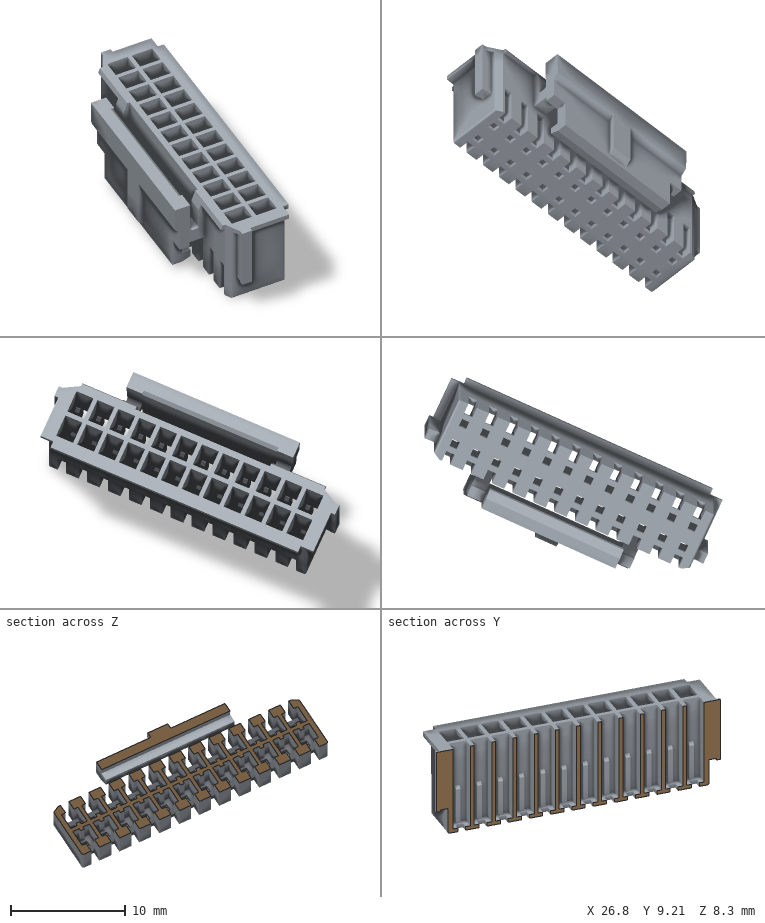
import cadquery as cq


length = 26.82
height = 8.3

body_length = 24.62
body_depth = 5.58
body_edge_radius = 0.2

flange_length = 26.07
flange_thickness = 0.48
back_lip_length = 23.65
back_lip_reach = 0.6
corner_cut_x = 1.4
corner_cut_y = 0.78

columns = 12
row_length = 22.0
cavity_width = 1.6
cavity_wall = 0.4
cavity_depth = 2.0
floor_thickness = 0.4
pin_hole = 0.7
pin_offset = 1.0

slot_width = 0.8
slot_height = 3.35
ledge_depth = 0.38
ledge_flat = 0.08
ledge_ramp = 0.3

rib_width = 0.43
rib_depth = 0.27
rib_height = 4.02
rib_ramp = 0.27

ear_lip = 0.45
ear_depth = 0.97
ear_back_y = -1.05
ear_bottom_z = 2.3
ear_web_bottom_z = 2.47

front_lip_reach = 0.25
arm_reach = 0.62
arm_slope_drop = 1.05
arm_outer_x = 7.83
arm_inner_x = 6.45
bridge_top_z = 5.15
bridge_bottom_z = 3.84
bridge_inner_radius = 0.21
bridge_outer_radius = 0.32

latch_gap = 1.53
plate_thickness = 1.5
thin_thickness = 0.97
plate_top_half = 7.97
shoulder_z = 3.35
plate_bottom_z = 0.45
step_top_z = 5.95
step_bottom_z = 5.4
lead_in = 0.32
hook_reach = 0.8
hook_top_z = 1.5
hook_tip_z = 0.78

bar_width = 2.05
bar_front_bottom_z = 1.42
bar_root_bottom_z = 0.95

back_y = body_depth / 2
front_y = -back_y
flange_z = height - flange_thickness
corner_x = flange_length / 2 - corner_cut_x
pitch = row_length / (columns - 1)
cavity_inner_y = cavity_wall / 2
cavity_outer_y = cavity_inner_y + cavity_depth
lip_top_y = front_y - front_lip_reach
arm_y = front_y - arm_reach
plate_back_y = front_y - latch_gap
thin_front_y = plate_back_y - thin_thickness
plate_front_y = plate_back_y - plate_thickness


def block(x0, x1, y0, y1, z0, z1):
    """Axis-aligned block between opposite corners."""
    return cq.Workplane("XY").box(x1 - x0, y1 - y0, z1 - z0, centered=False).translate((x0, y0, z0))


def prism(points, x0, x1):
    """Extrude a (y, z) profile from x0 to x1."""
    return cq.Workplane("YZ").polyline(points).close().extrude(x1 - x0).translate((x0, 0, 0))


def both_ends(solid):
    """The solid together with its mirror image in X."""
    return solid.union(solid.mirror("YZ"))


def make_housing():
    half = body_length / 2
    body = block(-half, half, front_y, back_y, 0, height)
    body = body.edges("(|Y and <Z) or (|Z and >Y)").fillet(body_edge_radius)

    flange_half = flange_length / 2
    lip_half = back_lip_length / 2
    housing = body.union(block(-flange_half, flange_half, front_y, back_y, flange_z, height))
    housing = housing.union(block(-lip_half, lip_half, back_y, back_y + back_lip_reach, flange_z, height))

    corner = [
        (flange_half, front_y),
        (flange_half, front_y + corner_cut_y),
        (corner_x, front_y),
    ]
    corner_cut = cq.Workplane("XY").polyline(corner).close().extrude(height)
    return housing.cut(both_ends(corner_cut))


def make_ears():
    lip_x = length / 2 - ear_lip
    front = ear_back_y - ear_depth
    lip = block(lip_x, length / 2, front, ear_back_y, ear_bottom_z, height)
    web = block(body_length / 2, lip_x, front, ear_back_y, ear_web_bottom_z, height)
    return both_ends(lip.union(web))


def make_arms():
    lip_bottom_y = lip_top_y - (arm_reach - front_lip_reach) * flange_thickness / arm_slope_drop
    lip = prism(
        [(front_y, height), (lip_top_y, height), (lip_bottom_y, flange_z), (front_y, flange_z)],
        arm_inner_x,
        corner_x,
    )
    r_in = bridge_inner_radius
    r_out = bridge_outer_radius
    arm = (
        cq.Workplane("YZ")
        .moveTo(front_y, height)
        .lineTo(lip_top_y, height)
        .lineTo(arm_y, height - arm_slope_drop)
        .lineTo(arm_y, bridge_top_z + r_in)
        .radiusArc((arm_y - r_in, bridge_top_z), r_in)
        .lineTo(plate_back_y + r_out, bridge_top_z)
        .radiusArc((plate_back_y, bridge_top_z + r_out), r_out)
        .lineTo(plate_back_y, bridge_bottom_z)
        .lineTo(front_y, bridge_bottom_z)
        .close()
        .extrude(arm_outer_x - arm_inner_x)
        .translate((arm_inner_x, 0, 0))
    )
    return both_ends(lip.union(arm))


def make_latch():
    side = prism(
        [
            (plate_back_y, height),
            (plate_front_y, height),
            (plate_front_y, step_top_z),
            (thin_front_y, step_bottom_z),
            (thin_front_y, plate_bottom_z),
            (plate_back_y, plate_bottom_z),
            (plate_back_y + hook_reach, hook_tip_z),
            (plate_back_y + hook_reach, hook_top_z),
            (plate_back_y, hook_top_z),
        ],
        -plate_top_half,
        plate_top_half,
    )
    outline = (
        cq.Workplane("XZ")
        .polyline(
            [
                (-plate_top_half, height),
                (plate_top_half, height),
                (arm_outer_x, shoulder_z),
                (arm_inner_x, shoulder_z),
                (arm_inner_x, 0),
                (-arm_inner_x, 0),
                (-arm_inner_x, shoulder_z),
                (-arm_outer_x, shoulder_z),
            ]
        )
        .close()
        .extrude(-plate_front_y)
    )
    bar = prism(
        [
            (thin_front_y, step_bottom_z),
            (plate_front_y, step_top_z),
            (plate_front_y, bar_front_bottom_z),
            (thin_front_y, bar_root_bottom_z),
        ],
        -bar_width / 2,
        bar_width / 2,
    )
    lead_in_wedge = prism(
        [(plate_back_y, height), (plate_back_y - lead_in, height), (plate_back_y, height - lead_in)],
        -arm_inner_x,
        arm_inner_x,
    )
    return side.intersect(outline).union(bar).cut(lead_in_wedge)


def make_cavity():
    """Space removed for one contact of the +Y row, centred on X = 0."""
    half = cavity_width / 2
    cavity = block(-half, half, cavity_inner_y, cavity_outer_y, floor_thickness, height)
    ledge_y = cavity_outer_y - ledge_depth
    ledge = prism(
        [
            (ledge_y, floor_thickness),
            (ledge_y, slot_height - ledge_ramp),
            (cavity_outer_y - ledge_flat, slot_height),
            (cavity_outer_y, slot_height),
            (cavity_outer_y, floor_thickness),
        ],
        -half,
        half,
    )
    rib_y = cavity_inner_y + rib_depth
    rib = prism(
        [
            (cavity_inner_y, floor_thickness),
            (cavity_inner_y, rib_height),
            (rib_y, rib_height - rib_ramp),
            (rib_y, floor_thickness),
        ],
        -rib_width / 2,
        rib_width / 2,
    )
    slot = block(-slot_width / 2, slot_width / 2, ledge_y, back_y, 0, slot_height)
    pin = cq.Workplane("XY").rect(pin_hole, pin_hole).extrude(floor_thickness).translate((0, pin_offset, 0))
    return cavity.cut(ledge).cut(rib).union(slot).union(pin)


def cut_cavities(solid):
    back_cavity = make_cavity()
    front_cavity = back_cavity.mirror("XZ")
    for column in range(columns):
        x = (column - (columns - 1) / 2) * pitch
        solid = solid.cut(back_cavity.translate((x, 0, 0)))
        solid = solid.cut(front_cavity.translate((x, 0, 0)))
    return solid


housing = cut_cavities(make_housing())
result = housing.union(make_ears()).union(make_arms()).union(make_latch())